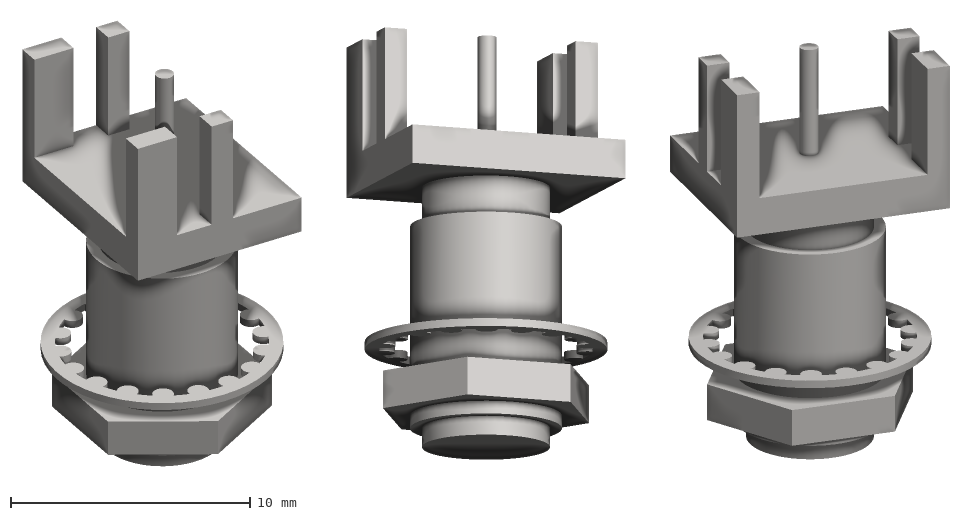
import cadquery as cq
import math

total_height = 17.45
lower_neck_top = 0.8
barrel_top = 9.4
plate_bottom = 11.05
plate_top = 12.69

barrel_diameter = 6.35
neck_diameter = 5.35
plate_width = 9.5
plate_depth = 7.95
leg_width = 1.0
middle_leg_depth = 1.03
front_leg_depth = 1.9

contact_offset = 0.12

insulator_diameter = 3.05
contact_diameter = 1.27
tail_diameter = 0.8

nut_bottom = 1.35
nut_height = 1.6
nut_across_flats = 7.95

washer_bottom = 4.15
washer_thickness = 0.33
washer_diameter = 10.15
tooth_count = 18
first_tooth_angle = 90
tooth_root_radius = 4.47
tooth_circle_radius = 4.31
tooth_radius = 0.45


def cylinder(diameter, bottom, top, y=0):
    """Vertical cylinder between two heights."""
    return cq.Workplane("XY", origin=(0, y, bottom)).circle(diameter / 2).extrude(top - bottom)


def make_leg(side, y, depth):
    """Solder leg flush with the left (-1) or right (+1) edge of the plate."""
    x = side * (plate_width - leg_width) / 2
    base = cq.Workplane("XY", origin=(x, y, plate_bottom))
    return base.rect(leg_width, depth).extrude(total_height - plate_bottom)


def make_housing():
    """Barrel with a reduced neck at each end, under a plate with four legs."""
    neck = cylinder(neck_diameter, 0, plate_bottom)
    barrel = cylinder(barrel_diameter, lower_neck_top, barrel_top)
    plate = (
        cq.Workplane("XY", origin=(0, 0, plate_bottom))
        .rect(plate_width, plate_depth)
        .extrude(plate_top - plate_bottom)
    )
    body = neck.union(barrel).union(plate)
    front_leg_y = (front_leg_depth - plate_depth) / 2
    for side in (-1, 1):
        body = body.union(make_leg(side, contact_offset, middle_leg_depth))
        body = body.union(make_leg(side, front_leg_y, front_leg_depth))
    return body.cut(cylinder(insulator_diameter, 0, plate_top, contact_offset))


def make_insulator():
    """Sleeve that fills the housing bore around the contact."""
    sleeve = cylinder(insulator_diameter, 0, plate_top, contact_offset)
    return sleeve.cut(cylinder(contact_diameter, 0, plate_top, contact_offset))


def make_contact():
    """Centre contact, flush with the plate, with a thinner solder tail."""
    shank = cylinder(contact_diameter, 0, plate_top, contact_offset)
    tail = cylinder(tail_diameter, plate_top, total_height, contact_offset)
    return shank.union(tail)


def make_nut():
    """Hexagonal nut with two corners on the X axis, fitting the barrel."""
    across_corners = nut_across_flats / math.cos(math.radians(30))
    hexagon = (
        cq.Workplane("XY", origin=(0, 0, nut_bottom))
        .polygon(6, across_corners)
        .extrude(nut_height)
    )
    return hexagon.cut(cylinder(barrel_diameter, nut_bottom, nut_bottom + nut_height))


def make_washer():
    """Flat ring with round-ended teeth around its inner edge."""
    base = cq.Workplane("XY", origin=(0, 0, washer_bottom))
    ring = base.circle(washer_diameter / 2).circle(tooth_root_radius).extrude(washer_thickness)
    teeth = (
        base.polarArray(tooth_circle_radius, first_tooth_angle, 360, tooth_count)
        .circle(tooth_radius)
        .extrude(washer_thickness)
    )
    return ring.union(teeth)


housing = make_housing()
insulator = make_insulator()
contact = make_contact()
nut = make_nut()
washer = make_washer()

result = cq.Compound.makeCompound(
    [housing.val(), insulator.val(), contact.val(), nut.val(), washer.val()]
)